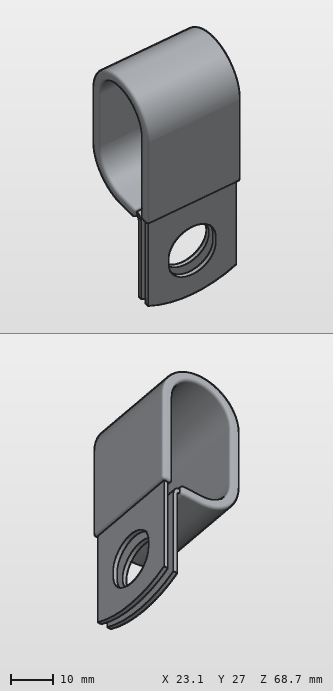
import cadquery as cq
import math

cushion_depth = 27.0
loop_width = 23.1
wall = 2.8
foot_end_x = 6.05
edge_radius = 0.8

strap_thickness = 1.2
strap_depth = cushion_depth - 2 * edge_radius
tab_pitch = 2.8
hole_diameter = 13.45
hole_height = 14.2
slot_stretch = 2.0
tip_sag = 2.95

total_height = 68.65
lower_arc_height = 39.7
long_leg_end_height = 30.2

outer_radius = loop_width / 2
inner_radius = outer_radius - wall
upper_arc_height = total_height - outer_radius
loop_bottom = lower_arc_height - outer_radius
wall_middle = outer_radius - wall / 2

right_tab_x = wall_middle
left_tab_x = right_tab_x - tab_pitch
bend_inner_radius = strap_thickness
bend_outer_radius = bend_inner_radius + strap_thickness
bend_start_x = left_tab_x - strap_thickness / 2 - bend_inner_radius
strap_embed = 1.4


def extrude_centred(profile, depth):
    return profile.extrude(depth / 2, both=True)


def make_cushion():
    diagonal = math.sqrt(0.5)
    outline = (
        cq.Workplane("XZ")
        .moveTo(outer_radius, long_leg_end_height)
        .lineTo(outer_radius, upper_arc_height)
        .threePointArc((0, total_height), (-outer_radius, upper_arc_height))
        .lineTo(-outer_radius, lower_arc_height)
        .threePointArc(
            (-outer_radius * diagonal, lower_arc_height - outer_radius * diagonal),
            (0, loop_bottom),
        )
        .lineTo(foot_end_x, loop_bottom)
        .lineTo(foot_end_x, loop_bottom + wall)
        .lineTo(0, loop_bottom + wall)
        .threePointArc(
            (-inner_radius * diagonal, lower_arc_height - inner_radius * diagonal),
            (-inner_radius, lower_arc_height),
        )
        .lineTo(-inner_radius, upper_arc_height)
        .threePointArc((0, upper_arc_height + inner_radius), (inner_radius, upper_arc_height))
        .lineTo(inner_radius, long_leg_end_height)
        .close()
    )
    band = extrude_centred(outline, cushion_depth)

    rims = band.faces("<Y or >Y").edges()
    leg_end = band.faces(cq.NearestToPointSelector((wall_middle, 0, long_leg_end_height)))
    foot_end = band.faces(cq.NearestToPointSelector((foot_end_x, 0, loop_bottom + wall / 2)))
    return rims.add(leg_end.edges("|Y")).add(foot_end.edges("|Y")).fillet(edge_radius)


def make_strap():
    half = strap_thickness / 2
    right_tab = (
        cq.Workplane("XZ")
        .moveTo(right_tab_x - half, 0)
        .lineTo(right_tab_x + half, 0)
        .lineTo(right_tab_x + half, long_leg_end_height + strap_embed)
        .lineTo(right_tab_x - half, long_leg_end_height + strap_embed)
        .close()
    )
    foot_middle = loop_bottom + wall / 2
    bend_height = foot_middle - half - bend_inner_radius
    left_tab = (
        cq.Workplane("XZ")
        .moveTo(left_tab_x - half, 0)
        .lineTo(left_tab_x + half, 0)
        .lineTo(left_tab_x + half, bend_height)
        .radiusArc((bend_start_x, foot_middle + half), -bend_outer_radius)
        .lineTo(bend_start_x - strap_embed, foot_middle + half)
        .lineTo(bend_start_x - strap_embed, foot_middle - half)
        .lineTo(bend_start_x, foot_middle - half)
        .radiusArc((left_tab_x - half, bend_height), bend_inner_radius)
        .close()
    )

    tab_gap_middle = (left_tab_x + right_tab_x) / 2
    hole = (
        cq.Workplane("YZ")
        .center(0, hole_height)
        .circle(hole_diameter / 2)
        .extrude(tab_gap_middle)
    )
    slot = (
        cq.Workplane("YZ", origin=(tab_gap_middle, 0, 0))
        .center(0, hole_height)
        .slot2D(hole_diameter + slot_stretch, hole_diameter, 90)
        .extrude(tab_pitch)
    )
    pierced_left = extrude_centred(left_tab, strap_depth).cut(hole)
    pierced_right = extrude_centred(right_tab, strap_depth).cut(slot)

    half_depth = strap_depth / 2
    silhouette = (
        cq.Workplane("YZ")
        .moveTo(-half_depth, tip_sag)
        .threePointArc((0, 0), (half_depth, tip_sag))
        .lineTo(half_depth, total_height)
        .lineTo(-half_depth, total_height)
        .close()
        .extrude(loop_width)
    )
    return pierced_left.union(pierced_right).intersect(silhouette)


result = make_cushion().union(make_strap())